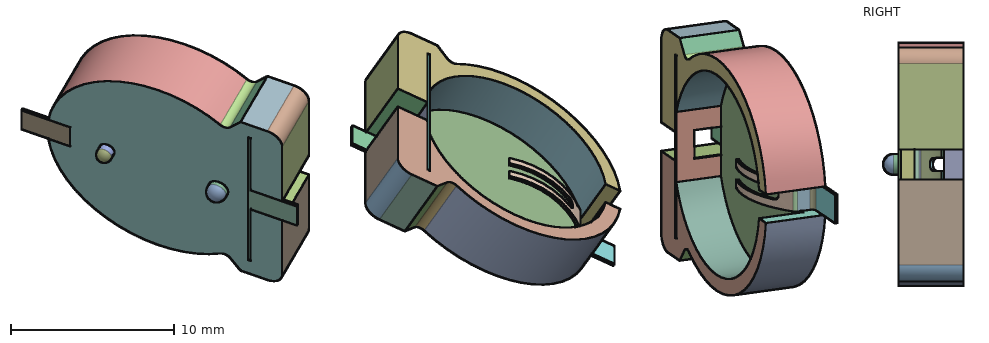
import cadquery as cq
import math


body_height = 4.0
body_radius = 7.475
cavity_radius = 6.45
floor_thickness = 1.0
block_end_x = 8.33
block_half_width = 7.18
block_corner_radius = 1.0
shoulder_x = 5.53
notch_x = 4.53
notch_fillet = 0.5

peg_length = 0.94
small_peg_diameter = 1.0
small_peg_x = -3.45
large_peg_diameter = 1.3
large_peg_x = 4.05

sheet = 0.17
lead_width = 1.84
lead_span = 18.54
left_tip_x = -9.22
right_tip_x = left_tip_x + lead_span

spring_back_x = -5.95
spring_front_x = spring_back_x - sheet
heel_fillet = 0.28
upright_top = 1.28
bend_radius = 0.33
bend_angle = 50
crest_height = 3.02
overrun_angle = 15
fork_gap = 0.79
fork_root_height = 2.13

plate_x = 6.04
plate_back_x = plate_x + sheet
plate_width = 11.8
window_top = 2.79


def box(x_start, x_end, y_start, y_end, width):
    """Box over the given X and Y ranges, centred on Z = 0."""
    size = (x_end - x_start, y_end - y_start, width)
    centre = ((x_start + x_end) / 2, (y_start + y_end) / 2, 0)
    return cq.Workplane("XY").box(*size).translate(centre)


def disc(x, radius, y_start, y_end):
    """Cylinder parallel to Y, centred at the given X."""
    return cq.Workplane("XZ", origin=(x, y_start, 0)).circle(radius).extrude(y_start - y_end)


def on_arc(centre, radius, degrees):
    """Point on a circle, with the angle measured from -X toward +Y."""
    angle = math.radians(degrees)
    return (centre[0] - radius * math.cos(angle), centre[1] + radius * math.sin(angle))


def make_shell():
    """Round body joined to the end block by a filleted notch on each side."""
    notch_z = math.sqrt(body_radius**2 - notch_x**2)
    block = (
        cq.Workplane("XZ")
        .moveTo(0, -notch_z)
        .lineTo(notch_x, -notch_z)
        .lineTo(shoulder_x, -block_half_width)
        .lineTo(block_end_x, -block_half_width)
        .lineTo(block_end_x, block_half_width)
        .lineTo(shoulder_x, block_half_width)
        .lineTo(notch_x, notch_z)
        .lineTo(0, notch_z)
        .close()
        .extrude(-body_height)
        .edges("|Y and >X")
        .fillet(block_corner_radius)
    )
    shell = disc(0, body_radius, 0, body_height).union(block)
    for z in (-notch_z, notch_z):
        notch_edge = cq.selectors.NearestToPointSelector((notch_x, body_height / 2, z))
        shell = shell.edges(notch_edge).fillet(notch_fillet)
    return shell


def make_cavity():
    """Round cell space above the floor, cut flat at the face of the plate contact."""
    space = disc(0, cavity_radius, floor_thickness, body_height)
    limit = box(-body_radius, plate_x, 0, body_height, 2 * body_radius)
    return space.intersect(limit)


def make_peg(x, diameter):
    """Peg with a hemispherical end, pointing toward -Y and rooted in the floor."""
    radius = diameter / 2
    dome_y = radius - peg_length
    root_y = floor_thickness / 2
    dome_middle = math.sqrt(0.5) * radius
    return (
        cq.Workplane("XY", origin=(x, 0, 0))
        .moveTo(0, root_y)
        .lineTo(radius, root_y)
        .lineTo(radius, dome_y)
        .threePointArc((dome_middle, dome_y - dome_middle), (0, -peg_length))
        .close()
        .revolve(360, (0, 0), (0, 1))
    )


def make_housing():
    """Shell with the cell cavity, the contact openings and the pegs."""
    housing = make_shell().cut(make_cavity())
    housing = housing.cut(box(-body_radius, spring_back_x, 0, body_height, lead_width))
    housing = housing.cut(box(plate_x, block_end_x, 0, body_height, lead_width))
    housing = housing.cut(box(plate_x, plate_back_x, 0, body_height, plate_width))
    for x, diameter in ((small_peg_x, small_peg_diameter), (large_peg_x, large_peg_diameter)):
        housing = housing.union(make_peg(x, diameter))
    return housing


def make_spring_contact():
    """Constant-width strip bent up from its lead and arched over the floor."""
    bend_centre = (spring_front_x + bend_radius, upright_top)
    slope = math.radians(bend_angle)
    bend_end_height = upright_top + bend_radius * math.sin(slope)
    arch_radius = (crest_height - bend_end_height) / (1 - math.sin(slope))
    arch_centre = (
        bend_centre[0] + (arch_radius - bend_radius) * math.cos(slope),
        crest_height - arch_radius,
    )

    tip_angle = 90 + overrun_angle
    arch_middle = (bend_angle + tip_angle) / 2
    heel_centre = (spring_front_x - heel_fillet, sheet + heel_fillet)
    heel_middle = on_arc(heel_centre, heel_fillet, 225)
    inner_bend = bend_radius - sheet
    inner_arch = arch_radius - sheet
    contact = (
        cq.Workplane("XY", origin=(0, 0, -lead_width / 2))
        .moveTo(left_tip_x, 0)
        .lineTo(left_tip_x, sheet)
        .lineTo(heel_centre[0], sheet)
        .threePointArc(heel_middle, (spring_front_x, heel_centre[1]))
        .lineTo(spring_front_x, upright_top)
        .threePointArc(
            on_arc(bend_centre, bend_radius, bend_angle / 2),
            on_arc(bend_centre, bend_radius, bend_angle),
        )
        .threePointArc(
            on_arc(arch_centre, arch_radius, arch_middle),
            on_arc(arch_centre, arch_radius, tip_angle),
        )
        .lineTo(*on_arc(arch_centre, inner_arch, tip_angle))
        .threePointArc(
            on_arc(arch_centre, inner_arch, arch_middle),
            on_arc(bend_centre, inner_bend, bend_angle),
        )
        .threePointArc(
            on_arc(bend_centre, inner_bend, bend_angle / 2),
            (spring_back_x, upright_top),
        )
        .lineTo(spring_back_x, 0)
        .close()
        .extrude(lead_width)
    )

    root_rise = fork_root_height - arch_centre[1]
    fork_root_x = arch_centre[0] - math.sqrt(arch_radius**2 - root_rise**2)
    fork_end_x = fork_root_x + fork_gap / 2
    tip_x = on_arc(arch_centre, arch_radius, tip_angle)[0]
    gap = box(fork_end_x, tip_x, upright_top, body_height, fork_gap)
    gap = gap.union(disc(fork_end_x, fork_gap / 2, upright_top, body_height))
    return contact.cut(gap)


def make_plate_contact():
    """Upright plate with a window and a lead along its lower edge."""
    plate = box(plate_x, plate_back_x, 0, body_height, plate_width)
    window = box(plate_x, plate_back_x, sheet, window_top, lead_width)
    lead = box(plate_x, right_tip_x, 0, sheet, lead_width)
    return plate.cut(window).union(lead)


housing = make_housing()
spring_contact = make_spring_contact()
plate_contact = make_plate_contact()

bodies = (housing, spring_contact, plate_contact)
result = cq.Compound.makeCompound([body.solids().val() for body in bodies])